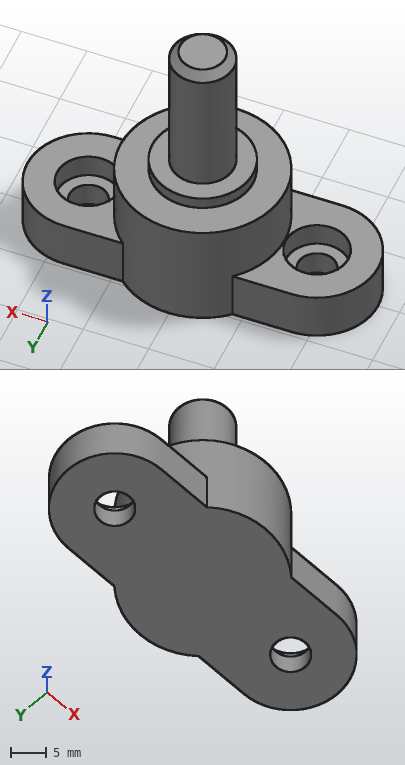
import cadquery as cq

boss_diameter = 25.0
boss_height = 17.5
flange_length = 53.45
flange_width = 18.6
flange_height = 7.8
screw_hole_diameter = 5.8
counterbore_diameter = 9.5
counterbore_depth = 3.8
screw_spacing = flange_length - flange_width

overall_height = 41.5
collar_diameter = 15.3
collar_height = 1.9
pin_diameter = 9.5
pin_chamfer = 1.35
collar_top = boss_height + collar_height


def screw_cylinders(diameter, bottom, height):
    """Cylinders on both screw axes, used to cut the holes and counterbores."""
    return (
        cq.Workplane("XY")
        .workplane(offset=bottom)
        .pushPoints([(-screw_spacing / 2, 0), (screw_spacing / 2, 0)])
        .circle(diameter / 2)
        .extrude(height)
    )


def make_housing():
    flange = cq.Workplane("XY").slot2D(flange_length, flange_width).extrude(flange_height)
    boss = cq.Workplane("XY").circle(boss_diameter / 2).extrude(boss_height)
    return (
        flange.union(boss)
        .cut(screw_cylinders(screw_hole_diameter, 0, flange_height))
        .cut(screw_cylinders(counterbore_diameter, flange_height - counterbore_depth, counterbore_depth))
    )


def make_stud():
    collar = (
        cq.Workplane("XY")
        .workplane(offset=boss_height)
        .circle(collar_diameter / 2)
        .extrude(collar_height)
    )
    pin = (
        cq.Workplane("XY")
        .workplane(offset=collar_top)
        .circle(pin_diameter / 2)
        .extrude(overall_height - collar_top)
        .faces(">Z")
        .chamfer(pin_chamfer)
    )
    return collar.union(pin)


housing = make_housing()
stud = make_stud()

result = cq.Compound.makeCompound([housing.val(), stud.val()])